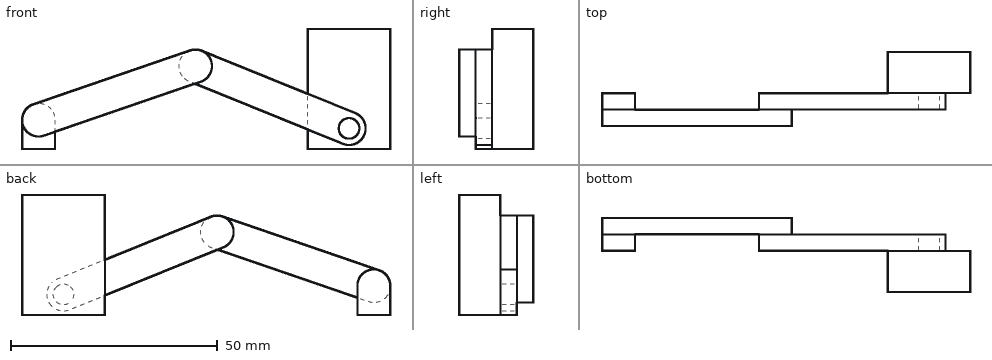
import cadquery as cq
import math

overall_length = 89.0
motor_width = 20.0
motor_depth = 10.0
motor_height = 29.0
shaft_diameter = 5.0
shaft_height = 5.0
link_thickness = 4.0
link_width = 8.0
link_length = 40.05
foot_pivot_height = 7.0

link_radius = link_width / 2
shaft_x = overall_length - motor_width / 2
foot_x = link_radius
span_x = shaft_x - foot_x
span_z = shaft_height - foot_pivot_height
span = math.hypot(span_x, span_z)
rise = math.sqrt(link_length**2 - (span / 2)**2)
elbow_x = (foot_x + shaft_x) / 2 - rise * span_z / span
elbow_z = (foot_pivot_height + shaft_height) / 2 + rise * span_x / span

crank_back = 0.0
coupler_back = crank_back - link_thickness


def plane_at(y):
    """XZ plane at the given Y; positive extrusion goes toward -Y."""
    return cq.Workplane("XZ", origin=(0, y, 0))


def make_shaft():
    """Cylinder through the full thickness of the crank."""
    return (
        plane_at(crank_back)
        .center(shaft_x, shaft_height)
        .circle(shaft_diameter / 2)
        .extrude(link_thickness)
    )


def make_motor():
    """Rectangular block with its output shaft."""
    block = cq.Workplane("XY").box(motor_width, motor_depth, motor_height, centered=False)
    return block.translate((overall_length - motor_width, 0, 0)).union(make_shaft())


def make_link(start_x, start_z, end_x, end_z, back):
    """Flat bar with round ends centred on its two pivots."""
    angle = math.degrees(math.atan2(end_z - start_z, end_x - start_x))
    return (
        plane_at(back)
        .center((start_x + end_x) / 2, (start_z + end_z) / 2)
        .slot2D(link_length + link_width, link_width, angle)
        .extrude(link_thickness)
    )


def make_foot():
    """Round-topped block standing on the base plane."""
    return (
        plane_at(crank_back)
        .moveTo(foot_x - link_radius, 0)
        .lineTo(foot_x + link_radius, 0)
        .lineTo(foot_x + link_radius, foot_pivot_height)
        .threePointArc(
            (foot_x, foot_pivot_height + link_radius),
            (foot_x - link_radius, foot_pivot_height),
        )
        .close()
        .extrude(link_thickness)
    )


motor = make_motor()
crank = make_link(elbow_x, elbow_z, shaft_x, shaft_height, crank_back).cut(make_shaft())
coupler = make_link(foot_x, foot_pivot_height, elbow_x, elbow_z, coupler_back)
foot = make_foot()

result = cq.Compound.makeCompound([motor.val(), crank.val(), coupler.val(), foot.val()])